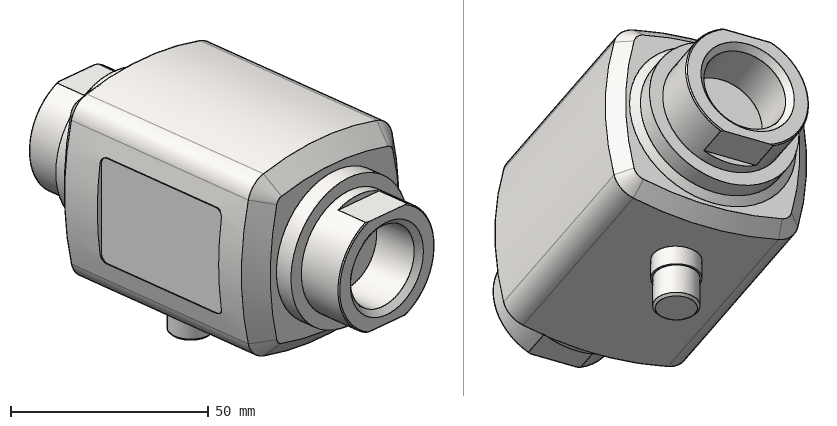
import cadquery as cq
import math

overall_length = 110.0

housing_width = 57.0
side_bulge_radius = 85.8
housing_corner_radius = 7.5
full_section_half_length = 31.4
left_end_chamfer = 3.8
right_end_chamfer = 5.2

left_cone_radius = 23.5
flange_radius = 21.1
flange_outer_x = 41.7
neck_radius = 17.4
neck_rim_chamfer = 0.3
flat_half_height = 15.7
flat_length = 10.0
bore_radius = 11.5
bore_mouth_radius = 13.2
bore_depth = 15.0

recess_length = 43.0
recess_height = 30.1
recess_center_x = 1.8
recess_depth = 1.5
recess_corner_radius = 2.2

connector_x = -14.5
collar_diameter = 13.0
collar_bottom_z = -33.9
plug_diameter = 12.0
plug_bottom_z = -43.0
plug_chamfer = 0.7

half_width = housing_width / 2
half_length = overall_length / 2
left_face_x = full_section_half_length + left_end_chamfer
right_face_x = full_section_half_length + right_end_chamfer


def make_housing():
    bulge_center = side_bulge_radius - half_width
    corner = (math.sqrt(2 * side_bulge_radius**2 - bulge_center**2) - bulge_center) / 2
    housing = (
        cq.Workplane("YZ", origin=(-left_face_x, 0, 0))
        .moveTo(-corner, -corner)
        .threePointArc((0, -half_width), (corner, -corner))
        .threePointArc((half_width, 0), (corner, corner))
        .threePointArc((0, half_width), (-corner, corner))
        .threePointArc((-half_width, 0), (-corner, -corner))
        .close()
        .extrude(left_face_x + right_face_x)
        .edges("|X")
        .fillet(housing_corner_radius)
    )
    housing = housing.faces("<X").chamfer(left_end_chamfer)
    return housing.faces(">X").chamfer(right_end_chamfer)


def make_fitting():
    """Flange and neck pointing along +X, with two wrench flats."""
    flange = cq.Workplane("YZ").circle(flange_radius).extrude(flange_outer_x)
    neck = (
        cq.Workplane("YZ")
        .circle(neck_radius)
        .extrude(half_length)
        .faces(">X")
        .chamfer(neck_rim_chamfer)
    )
    flat_cut_height = neck_radius - flat_half_height
    for side in (-1, 1):
        flat_cut = cq.Workplane("XY").box(flat_length, 2 * neck_radius, flat_cut_height).translate(
            (half_length - flat_length / 2, 0, side * (flat_half_height + flat_cut_height / 2))
        )
        neck = neck.cut(flat_cut)
    return flange.union(neck)


def make_bore():
    """Blind bore entering from the +X end, with a 45 degree mouth."""
    mouth_depth = bore_mouth_radius - bore_radius
    return (
        cq.Workplane("XY")
        .moveTo(half_length, 0)
        .lineTo(half_length, bore_mouth_radius)
        .lineTo(half_length - mouth_depth, bore_radius)
        .lineTo(half_length - bore_depth, bore_radius)
        .lineTo(half_length - bore_depth, 0)
        .close()
        .revolve(360, (0, 0, 0), (1, 0, 0))
    )


def make_left_cone():
    """Conical step between the left housing face and its flange."""
    return (
        cq.Workplane("XY")
        .moveTo(0, 0)
        .lineTo(0, left_cone_radius)
        .lineTo(-left_face_x, left_cone_radius)
        .lineTo(-right_face_x, flange_radius)
        .lineTo(-right_face_x, 0)
        .close()
        .revolve(360, (0, 0, 0), (1, 0, 0))
    )


def make_recess():
    return (
        cq.Workplane("XY")
        .box(recess_length, 2 * recess_depth, recess_height)
        .edges("|Y")
        .fillet(recess_corner_radius)
        .translate((recess_center_x, -half_width, 0))
    )


def make_connector():
    base = cq.Workplane("XY", origin=(connector_x, 0, 0))
    collar = base.circle(collar_diameter / 2).extrude(collar_bottom_z)
    plug = base.circle(plug_diameter / 2).extrude(plug_bottom_z)
    return collar.union(plug.faces("<Z").chamfer(plug_chamfer))


body = make_housing().cut(make_recess())
body = body.union(make_left_cone()).union(make_connector())
for turn in (0, 180):
    body = body.union(make_fitting().rotate((0, 0, 0), (0, 0, 1), turn))
    body = body.cut(make_bore().rotate((0, 0, 0), (0, 0, 1), turn))

result = body